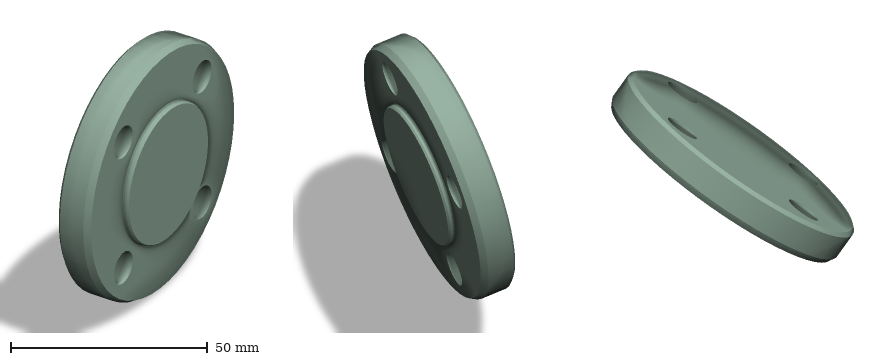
import cadquery as cq

flange_diameter = 70.0
flange_thickness = 9.7
total_thickness = 11.5
rim_bevel_depth = 1.0
front_bevel_length = 1.0
back_bevel_length = 1.75

boss_diameter = 38.3
boss_tip_bevel_length = 0.55
boss_tip_bevel_depth = 0.35
boss_root_length = 0.35
boss_root_flare = 0.2

hole_diameter = 9.0
hole_spacing = 37.45

flange_radius = flange_diameter / 2
boss_radius = boss_diameter / 2
bevel_face_radius = flange_radius - rim_bevel_depth


def make_body():
    """Revolve the half section, drawn as (axial position, radius), about X."""
    half_section = [
        (0, 0),
        (0, bevel_face_radius),
        (front_bevel_length, flange_radius),
        (flange_thickness - back_bevel_length, flange_radius),
        (flange_thickness, bevel_face_radius),
        (flange_thickness, boss_radius + boss_root_flare),
        (flange_thickness + boss_root_length, boss_radius),
        (total_thickness - boss_tip_bevel_length, boss_radius),
        (total_thickness, boss_radius - boss_tip_bevel_depth),
        (total_thickness, 0),
    ]
    profile = cq.Workplane("XY").polyline(half_section).close()
    return profile.revolve(360, (0, 0, 0), (1, 0, 0))


def make_bolt_holes():
    """Cylinders along X at the corners of a square."""
    return (
        cq.Workplane("YZ")
        .rect(hole_spacing, hole_spacing, forConstruction=True)
        .vertices()
        .circle(hole_diameter / 2)
        .extrude(total_thickness)
    )


result = make_body().cut(make_bolt_holes())